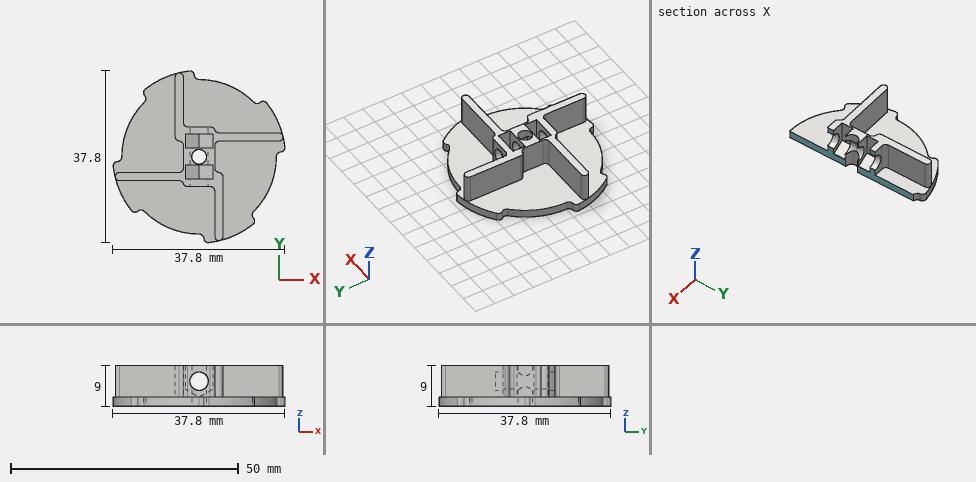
import cadquery as cq
import math

base_thickness = 2.0
root_radius = 17.0
lobe_radius = 19.0
lobe_center_angle = 22.5
lobe_half_angle = 19.2
lobe_count = 4
lobe_corner_radius = (lobe_radius - root_radius) / 2

total_height = 9.0
pinwheel_height = total_height - base_thickness
block_half_width = 3.45
block_half_length = 6.55
arm_thickness = 1.8
arm_inner = block_half_width
arm_outer = arm_inner + arm_thickness
corner_radius = 1.0
arm_end_gap = 0.06

axle_hole_diameter = 3.2
cross_hole_diameter = 4.0
cross_hole_height = base_thickness + pinwheel_height / 2
nut_width = 6.05
nut_pocket_length = 3.05
nut_pocket_spacing = 6.84
nut_pocket_shift = 0.07


def polar(radius, angle):
    """Point at a radius and an angle in degrees."""
    return (radius * math.cos(math.radians(angle)), radius * math.sin(math.radians(angle)))


def make_base():
    """Lobed plate whose lobe flanks are two opposite corner arcs."""
    corner_center_radius = root_radius + lobe_corner_radius
    corner_angle = math.degrees(math.asin(lobe_corner_radius / corner_center_radius))
    flank_radius = math.sqrt(corner_center_radius**2 - lobe_corner_radius**2)
    pitch = 360 / lobe_count
    root_half_angle = lobe_half_angle + corner_angle
    tip_half_angle = lobe_half_angle - corner_angle

    outline = cq.Workplane("XY").moveTo(*polar(root_radius, lobe_center_angle - root_half_angle))
    for index in range(lobe_count):
        middle = lobe_center_angle + index * pitch
        outline = (
            outline
            .radiusArc(polar(flank_radius, middle - lobe_half_angle), lobe_corner_radius)
            .radiusArc(polar(lobe_radius, middle - tip_half_angle), -lobe_corner_radius)
            .threePointArc(polar(lobe_radius, middle), polar(lobe_radius, middle + tip_half_angle))
            .radiusArc(polar(flank_radius, middle + lobe_half_angle), -lobe_corner_radius)
            .radiusArc(polar(root_radius, middle + root_half_angle), lobe_corner_radius)
            .threePointArc(
                polar(root_radius, middle + pitch / 2),
                polar(root_radius, middle + pitch - root_half_angle),
            )
        )
    return outline.close().extrude(base_thickness)


def jog_half_span(step):
    """Half the run of two equal opposite corner arcs that shift a wall sideways by a step."""
    return math.sqrt(4 * corner_radius * step - step**2) / 2


def make_pinwheel():
    """Block and four arms, drawn clockwise as two halves that are a half turn apart."""
    cap_radius = arm_thickness / 2
    arm_middle = arm_inner + cap_radius
    cap_center = math.sqrt((lobe_radius - arm_end_gap - cap_radius) ** 2 - arm_middle**2)
    side_run = jog_half_span(arm_thickness)
    end_step = block_half_length - arm_outer
    end_run = jog_half_span(end_step)

    outline = cq.Workplane("XY").workplane(offset=base_thickness)
    outline = outline.moveTo(-block_half_width, corner_radius - arm_inner)
    for turn in (1, -1):

        def at(x, y):
            return (turn * x, turn * y)

        outline = (
            outline
            .lineTo(*at(-block_half_width, arm_inner - side_run))
            .radiusArc(at(-arm_middle, arm_inner), -corner_radius)
            .radiusArc(at(-arm_outer, arm_inner + side_run), corner_radius)
            .lineTo(*at(-arm_outer, cap_center))
            .threePointArc(at(-arm_middle, cap_center + cap_radius), at(-arm_inner, cap_center))
            .lineTo(*at(-arm_inner, block_half_length + corner_radius))
            .radiusArc(at(corner_radius - arm_inner, block_half_length), -corner_radius)
            .lineTo(*at(block_half_width - end_run, block_half_length))
            .radiusArc(at(block_half_width, block_half_length - end_step / 2), corner_radius)
            .radiusArc(at(block_half_width + end_run, arm_outer), -corner_radius)
            .lineTo(*at(cap_center, arm_outer))
            .threePointArc(at(cap_center + cap_radius, arm_middle), at(cap_center, arm_inner))
            .lineTo(*at(block_half_width + corner_radius, arm_inner))
            .radiusArc(at(block_half_width, arm_inner - corner_radius), -corner_radius)
        )
    return outline.close().extrude(pinwheel_height)


def make_nut_pocket(center_y):
    """Slot open at the top whose V-shaped floor holds the lower corner of a hex nut."""
    half_width = nut_width / 2
    tip_height = cross_hole_height - nut_width / math.sqrt(3)
    shoulder_height = cross_hole_height - half_width / math.sqrt(3)
    return (
        cq.Workplane("XZ", origin=(0, center_y, 0))
        .moveTo(0, tip_height)
        .lineTo(half_width, shoulder_height)
        .lineTo(half_width, total_height)
        .lineTo(-half_width, total_height)
        .lineTo(-half_width, shoulder_height)
        .close()
        .extrude(nut_pocket_length / 2, both=True)
    )


def make_axle_hole():
    return cq.Workplane("XY").circle(axle_hole_diameter / 2).extrude(total_height)


def make_cross_hole():
    return (
        cq.Workplane("XZ", origin=(0, 0, cross_hole_height))
        .circle(cross_hole_diameter / 2)
        .extrude(block_half_length, both=True)
    )


result = make_base().union(make_pinwheel())
result = result.cut(make_axle_hole()).cut(make_cross_hole())
for side in (1, -1):
    result = result.cut(make_nut_pocket(nut_pocket_shift + side * nut_pocket_spacing / 2))